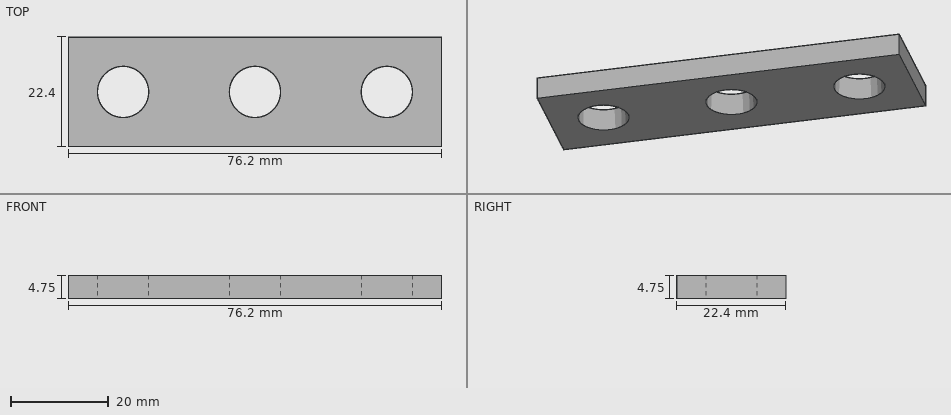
import cadquery as cq

length = 76.2
width = 22.35
thickness = 4.75

hole_diameter = 10.41
hole_count = 3
end_distance = width / 2
hole_pitch = (length - 2 * end_distance) / (hole_count - 1)


def make_bar():
    """Rectangular bar centred on the origin."""
    return cq.Workplane("XY").box(length, width, thickness)


def drill_holes(bar):
    """Drill the evenly spaced row of holes through the bar."""
    return bar.faces(">Z").workplane().rarray(hole_pitch, width, hole_count, 1).hole(hole_diameter)


result = drill_holes(make_bar())